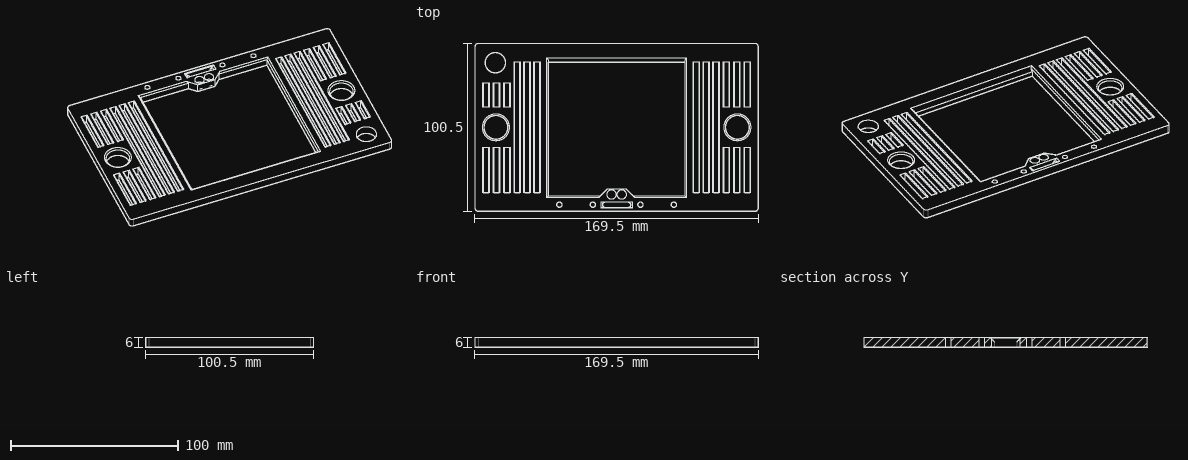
import cadquery as cq

PLATE_LENGTH = 169.5
PLATE_WIDTH = 100.5
THICKNESS = 6.0
CORNER_RADIUS = 2.0

WINDOW_HALF_LENGTH = 40.8
WINDOW_BACK_Y = 38.8
WINDOW_FRONT_Y = -41.0
WINDOW_CHAMFER = 1.0
WINDOW_BACK_CHAMFER = 2.5

TAB_END_Y = -36.8
TAB_END_HALF_LENGTH = 5.6
TAB_BASE_Y = -43.2

SOCKET_DIAMETER = 5.6
SOCKET_SPACING = 6.1
SOCKET_Y = -40.2
SOCKET_DEPTH = 5.0

SLOT_WIDTH = 4.0
SLOT_CHAMFER = 0.5
SLOTS_PER_GROUP = 3
INNER_GROUP_X = 53.5
INNER_SLOT_PITCH = 6.0
OUTER_GROUP_X = 71.9
OUTER_SLOT_PITCH = 6.3
SLOT_OUTER_Y = 39.0
SLOT_INNER_Y = 12.2
SHORT_SLOT_OUTER_Y = 26.5

LARGE_HOLE_DIAMETER = 14.0
LARGE_HOLE_CHAMFER = 1.0
LARGE_HOLE_X = 72.2
CORNER_HOLE_DIAMETER = 12.0
CORNER_HOLE_X = -72.5
CORNER_HOLE_Y = 38.6

ROW_Y = -46.3
SMALL_HOLE_DIAMETER = 3.0
SMALL_HOLE_XS = (14.2, 34.2)
PORT_LENGTH = 16.8
PORT_BACK_Y = -44.7
PORT_FRONT_Y = -48.0
PORT_END_CHAMFER = 1.0
PORT_FRONT_CHAMFER = 0.3


def flared_profile(plane, low, high, low_chamfer, high_chamfer, reach):
    """Through-cut section from low to high, chamfered at the top face, extruded to both sides."""
    points = [
        (low, 0),
        (high, 0),
        (high, THICKNESS - high_chamfer),
        (high + high_chamfer, THICKNESS),
        (low - low_chamfer, THICKNESS),
        (low, THICKNESS - low_chamfer),
    ]
    unique_points = list(dict.fromkeys(points))
    return cq.Workplane(plane).polyline(unique_points).close().extrude(reach, both=True)


def flared_opening(x_range, y_range, x_chamfers, y_chamfers):
    """Rectangular through opening whose four top edges have their own chamfers."""
    along_y = flared_profile("XZ", *x_range, *x_chamfers, PLATE_WIDTH)
    along_x = flared_profile("YZ", *y_range, *y_chamfers, PLATE_LENGTH)
    return along_y.intersect(along_x)


def window():
    """Chamfered opening, less the tab standing in its front edge."""
    opening = flared_opening(
        (-WINDOW_HALF_LENGTH, WINDOW_HALF_LENGTH),
        (WINDOW_FRONT_Y, WINDOW_BACK_Y),
        (WINDOW_CHAMFER, WINDOW_CHAMFER),
        (WINDOW_CHAMFER, WINDOW_BACK_CHAMFER),
    )
    base_half_length = TAB_END_HALF_LENGTH + TAB_END_Y - TAB_BASE_Y
    tab = (
        cq.Workplane("XY")
        .polyline([
            (-base_half_length, TAB_BASE_Y),
            (base_half_length, TAB_BASE_Y),
            (TAB_END_HALF_LENGTH, TAB_END_Y),
            (-TAB_END_HALF_LENGTH, TAB_END_Y),
        ])
        .close()
        .extrude(THICKNESS)
    )
    return opening.cut(tab)


def slot_group(center_x, pitch, front_y, back_y):
    """Row of slots chamfered along their long sides."""
    half_straight = SLOT_WIDTH / 2 - SLOT_CHAMFER
    group = cq.Workplane("XY")
    for index in range(SLOTS_PER_GROUP):
        x = center_x + (index - (SLOTS_PER_GROUP - 1) / 2) * pitch
        slot = flared_opening(
            (x - half_straight, x + half_straight),
            (front_y, back_y),
            (SLOT_CHAMFER, SLOT_CHAMFER),
            (0, 0),
        )
        group = group.add(slot)
    return group.combine()


def holes(diameter, centers, depth=THICKNESS):
    """Cylinders going down from the top face."""
    return (
        cq.Workplane("XY")
        .workplane(offset=THICKNESS)
        .pushPoints(centers)
        .circle(diameter / 2)
        .extrude(-depth)
    )


def large_hole(center_x):
    """Through hole with a 45 degree countersink at the top face."""
    radius = LARGE_HOLE_DIAMETER / 2
    countersink = (
        cq.Workplane("XY")
        .workplane(offset=THICKNESS)
        .center(center_x, 0)
        .circle(radius + LARGE_HOLE_CHAMFER)
        .workplane(offset=-LARGE_HOLE_CHAMFER)
        .circle(radius)
        .loft()
    )
    return holes(LARGE_HOLE_DIAMETER, [(center_x, 0)]).union(countersink)


def port():
    """Through slot with round ends, under a rectangular mouth whose slopes run down to those ends."""
    width = PORT_BACK_Y - PORT_FRONT_Y
    end_radius = width / 2
    half_straight = PORT_LENGTH / 2 - end_radius
    end_slope = PORT_END_CHAMFER + end_radius
    slot = (
        cq.Workplane("XY")
        .center(0, PORT_FRONT_Y + end_radius)
        .slot2D(PORT_LENGTH, width)
        .extrude(THICKNESS)
    )
    mouth = flared_opening(
        (-half_straight, half_straight),
        (PORT_FRONT_Y, PORT_BACK_Y),
        (end_slope, end_slope),
        (PORT_FRONT_CHAMFER, 0),
    )
    return slot.union(mouth)


plate = (
    cq.Workplane("XY")
    .box(PLATE_LENGTH, PLATE_WIDTH, THICKNESS, centered=(True, True, False))
    .edges("|Z")
    .fillet(CORNER_RADIUS)
)

plate = plate.cut(window())

for side in (-1, 1):
    rear_slot_end = SHORT_SLOT_OUTER_Y if side < 0 else SLOT_OUTER_Y
    outer_x = side * OUTER_GROUP_X
    plate = plate.cut(slot_group(side * INNER_GROUP_X, INNER_SLOT_PITCH, -SLOT_OUTER_Y, SLOT_OUTER_Y))
    plate = plate.cut(slot_group(outer_x, OUTER_SLOT_PITCH, -SLOT_OUTER_Y, -SLOT_INNER_Y))
    plate = plate.cut(slot_group(outer_x, OUTER_SLOT_PITCH, SLOT_INNER_Y, rear_slot_end))

for side in (-1, 1):
    plate = plate.cut(large_hole(side * LARGE_HOLE_X))

plate = plate.cut(holes(CORNER_HOLE_DIAMETER, [(CORNER_HOLE_X, CORNER_HOLE_Y)]))

small_hole_centers = [(side * x, ROW_Y) for x in SMALL_HOLE_XS for side in (-1, 1)]
socket_centers = [(side * SOCKET_SPACING / 2, SOCKET_Y) for side in (-1, 1)]
plate = plate.cut(holes(SMALL_HOLE_DIAMETER, small_hole_centers))
plate = plate.cut(holes(SOCKET_DIAMETER, socket_centers, SOCKET_DEPTH))
plate = plate.cut(port())

result = plate